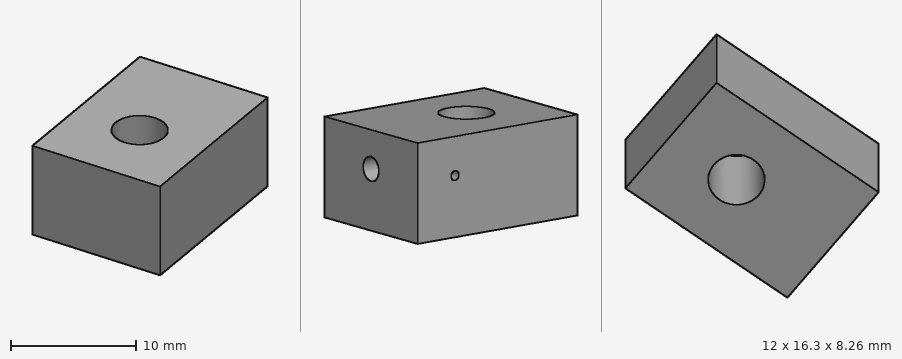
import cadquery as cq

width = 11.98
length = 16.26
height = 8.26

bore_diameter = 4.5
bore_from_front = 6.57

socket_diameter = 2.0
socket_depth = 6.0
socket_from_top = 3.2

pin_diameter = 0.78
pin_from_back = 3.8

socket_height = height - socket_from_top


def make_block():
    return cq.Workplane("XY").box(width, length, height, centered=(True, False, False))


def make_bore():
    return cq.Workplane("XY").center(0, bore_from_front).circle(bore_diameter / 2).extrude(height)


def make_socket():
    return (
        cq.Workplane("XZ", origin=(0, length, socket_height))
        .circle(socket_diameter / 2)
        .extrude(socket_depth)
    )


def make_pin_hole():
    return (
        cq.Workplane("YZ", origin=(-width / 2, length - pin_from_back, socket_height))
        .circle(pin_diameter / 2)
        .extrude(width / 2)
    )


result = make_block().cut(make_bore()).cut(make_socket()).cut(make_pin_hole())